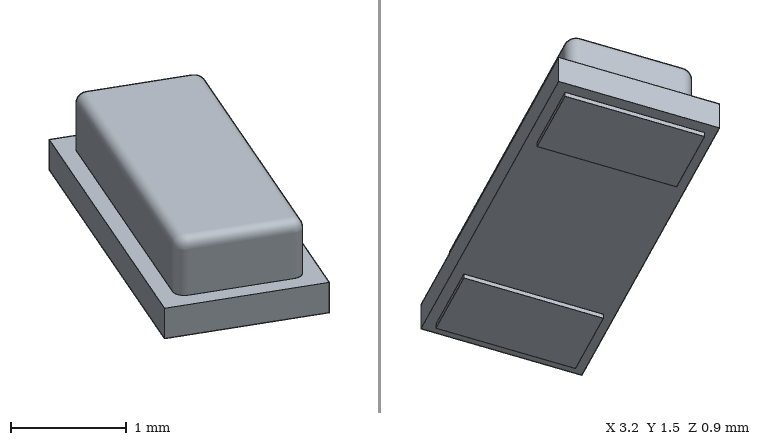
import cadquery as cq

base_length = 3.2
base_width = 1.5
base_height = 0.3

cover_margin = 0.16
cover_length = base_length - 2 * cover_margin
cover_width = base_width - 2 * cover_margin
cover_height = 0.55
corner_radius = 0.11
top_edge_radius = 0.1

pad_length = 0.65
pad_thickness = 0.05
pad_margin = 0.1
pad_width = base_width - 2 * pad_margin
pad_center_x = base_length / 2 - pad_margin - pad_length / 2

base_bottom = pad_thickness
base_top = base_bottom + base_height


def block(length, width, height, bottom, center_x=0):
    """Rectangular block centred on Y = 0, standing on the given level."""
    return (
        cq.Workplane("XY")
        .workplane(offset=bottom)
        .center(center_x, 0)
        .rect(length, width)
        .extrude(height)
    )


def make_package():
    """Base plate and rounded cover as one solid."""
    base = block(base_length, base_width, base_height, base_bottom)
    cover = block(cover_length, cover_width, cover_height, base_top)
    cover = cover.edges("|Z").fillet(corner_radius)
    cover = cover.faces(">Z").edges().fillet(top_edge_radius)
    return base.union(cover)


def make_pad(center_x):
    """Flat terminal pad touching the underside of the base."""
    return block(pad_length, pad_width, pad_thickness, 0, center_x)


package = make_package()
pads = [make_pad(side * pad_center_x) for side in (-1, 1)]

result = cq.Compound.makeCompound([package.val(), *[pad.val() for pad in pads]])